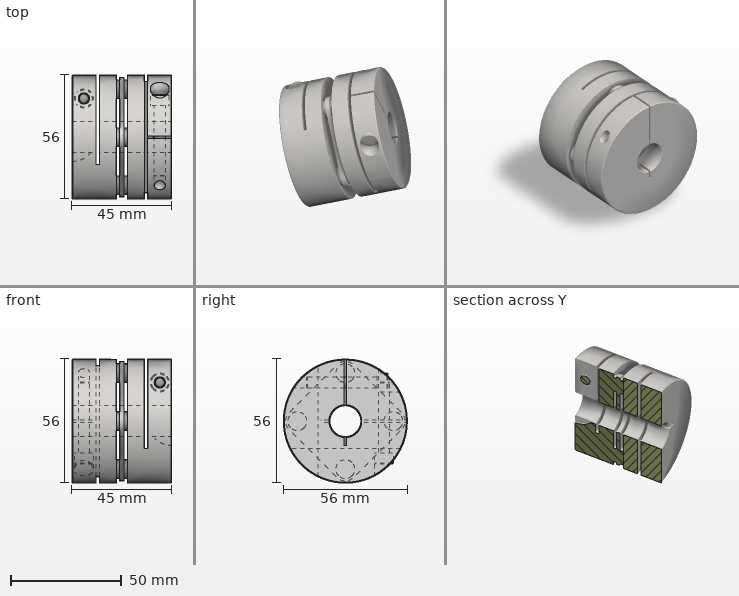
import cadquery as cq


outer_diameter = 56.0
outer_radius = outer_diameter / 2
total_length = 45.0
end_face_x = total_length / 2
hub_gap = 5.0
inner_face_x = hub_gap / 2
bore_radius = 7.0
edge_chamfer = 0.4

cross_cut_width = 1.5
clamp_width = 10.85
cross_cut_floor = -12.3
slit_width = 1.0
slit_end_radius = 11.0
cross_cut_outer_x = end_face_x - clamp_width

screw_x = 17.15
screw_offset = 17.5
thread_radius = 2.5
head_radius = 4.25
head_length = 5.0
screw_length = 32.0
head_end_y = 19.3
screw_chamfer = 0.45
head_seat_y = head_end_y - head_length
tip_y = head_seat_y - screw_length

disc_thickness = 2.0
bolt_circle_radius = 21.7
ear_radius = 5.3
spacer_radius = 4.25
ear_count = 4


def cylinder_along_x(radius, x_start, x_end, z=0.0):
    return cq.Workplane("YZ", origin=(x_start, 0, z)).circle(radius).extrude(x_end - x_start)


def cylinder_along_y(radius, y_start, y_end, x, z):
    """Cylinder from y_start up to y_end; the XZ workplane faces -Y."""
    return cq.Workplane("XZ", origin=(x, y_end, z)).circle(radius).extrude(y_end - y_start)


def box_between(x_range, y_range, z_range):
    """Box spanning three (low, high) ranges."""
    spans = [high - low for low, high in (x_range, y_range, z_range)]
    corner = (x_range[0], y_range[0], z_range[0])
    return cq.Workplane("XY").box(*spans, centered=False).translate(corner)


def hub_blank():
    """Bored cylinder with chamfered rim and bore edge on its end face."""
    blank = cylinder_along_x(outer_radius, inner_face_x, end_face_x)
    blank = blank.cut(cylinder_along_x(bore_radius, inner_face_x, end_face_x))
    return blank.faces(">X").edges().chamfer(edge_chamfer)


def cross_cut():
    """Saw cut across the axis that frees the clamp from the rest of the hub."""
    return box_between(
        (cross_cut_outer_x - cross_cut_width, cross_cut_outer_x),
        (-outer_radius, outer_radius),
        (cross_cut_floor, outer_radius),
    )


def clamp_slit():
    """Slit from the rim through the bore, ending in a round saw run-out beyond it."""
    half_width = slit_width / 2
    upper_slit = box_between(
        (cross_cut_outer_x, end_face_x),
        (-half_width, half_width),
        (0, outer_radius),
    )
    saw_disc = cylinder_along_y(slit_end_radius, -half_width, half_width, end_face_x, 0)
    return upper_slit.union(saw_disc)


def screw_hole():
    """Through thread hole with a counterbore on the +Y side."""
    thread = cylinder_along_y(thread_radius, -outer_radius, outer_radius, screw_x, screw_offset)
    counterbore = cylinder_along_y(head_radius, head_seat_y, outer_radius, screw_x, screw_offset)
    return thread.union(counterbore)


def make_clamp_hub():
    """Hub on the +X side, slit at the top."""
    return hub_blank().cut(cross_cut()).cut(clamp_slit()).cut(screw_hole())


def make_clamp_screw():
    """Screw of the +X hub, head towards +Y, both ends chamfered."""
    shank = cylinder_along_y(thread_radius, tip_y, head_seat_y, screw_x, screw_offset)
    shank = shank.faces("<Y").edges().chamfer(screw_chamfer)
    head = cylinder_along_y(head_radius, head_seat_y, head_end_y, screw_x, screw_offset)
    head = head.faces(">Y").edges().chamfer(screw_chamfer)
    return shank.union(head)


def make_spaced_disc():
    """Rounded square disc with one spacer on each face of every ear, open at the bore."""
    half_thickness = disc_thickness / 2
    side = 2 ** 0.5 * bolt_circle_radius + 2 * ear_radius
    disc = (
        cq.Workplane("YZ", origin=(-half_thickness, 0, 0))
        .rect(side, side)
        .extrude(disc_thickness)
        .edges("|X")
        .fillet(ear_radius)
        .rotate((0, 0, 0), (1, 0, 0), 45)
    )
    for ear in range(ear_count):
        spacer = cylinder_along_x(spacer_radius, -inner_face_x, inner_face_x, z=bolt_circle_radius)
        disc = disc.union(spacer.rotate((0, 0, 0), (1, 0, 0), ear * 360 / ear_count))
    return disc.cut(cylinder_along_x(bore_radius, -half_thickness, half_thickness))


def to_left_side(body):
    """Mirror a +X body to the -X side and turn it a quarter, so its top faces +Y."""
    return body.mirror("YZ").rotate((0, 0, 0), (1, 0, 0), -90)


left_hub = to_left_side(make_clamp_hub())
right_hub = make_clamp_hub().union(make_spaced_disc())
left_screw = to_left_side(make_clamp_screw())
right_screw = make_clamp_screw()

result = cq.Compound.makeCompound(
    [left_hub.val(), right_hub.val(), left_screw.val(), right_screw.val()]
)